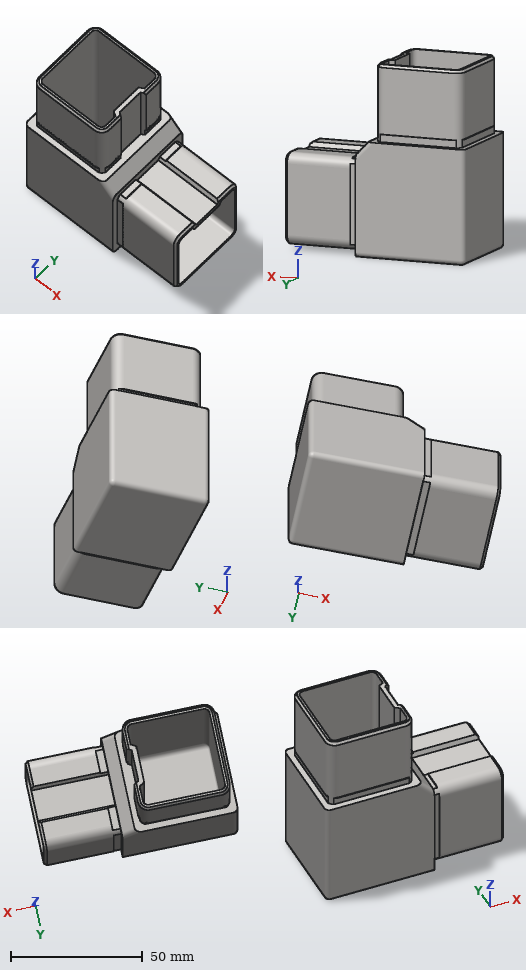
import cadquery as cq
import math


overall = 75.0
block_width = 40.0
block_length = 45.0
block_round = 2.0
block_chamfer = 4.95

spigot_width = 35.7
spigot_round = 4.0
tip_chamfer_inset = 0.9
tip_chamfer_height = 1.05
neck_width = 34.8
neck_length = 3.0

bore_width = 31.95
bore_round = 2.0
bore_corner_round = 1.0

groove_floor_half = 6.0
groove_flank = math.tan(math.radians(30))
groove_depth = (spigot_width - bore_width) / 2
groove_wall = 2.0
ridge_floor_half = 7.1

axis = block_width / 2
spigot_face = axis + spigot_width / 2
bore_face = axis + bore_width / 2
groove_floor = spigot_face - groove_depth


def rounded_bar(width, radius, bottom, top):
    """Square bar with rounded corners, standing on the vertical spigot axis."""
    return (
        cq.Workplane("XY", origin=(axis, 0, bottom))
        .rect(width, width)
        .extrude(top - bottom)
        .edges("|Z")
        .fillet(radius)
    )


def trapezoid_bar(floor_x, floor_half, mouth_x, bottom):
    """Vertical bar with a trapezoid section that widens from floor to mouth."""
    mouth_half = floor_half + (mouth_x - floor_x) * groove_flank
    outline = [
        (floor_x, -floor_half),
        (mouth_x, -mouth_half),
        (mouth_x, mouth_half),
        (floor_x, floor_half),
    ]
    return (
        cq.Workplane("XY", origin=(0, 0, bottom))
        .polyline(outline)
        .close()
        .extrude(overall - bottom)
    )


def swap_x_and_z(solid):
    """Half turn about the X = Z diagonal; turns the vertical leg into the horizontal one."""
    return solid.rotate((0, 0, 0), (1, 0, 1), 180)


def corner_block():
    """Solid block with a bevelled inner corner and rounded outer edges."""
    shoulder = block_length - block_chamfer
    outline = [
        (0, 0),
        (block_length, 0),
        (block_length, shoulder),
        (shoulder, block_length),
        (0, block_length),
    ]
    block = (
        cq.Workplane("XZ", origin=(0, axis, 0))
        .polyline(outline)
        .close()
        .extrude(block_width)
    )
    return block.edges("not(>X or >Z)").fillet(block_round)


def spigot():
    """Solid upright spigot with neck flats, tip chamfer and weld-seam groove."""
    sleeve = (
        rounded_bar(spigot_width, spigot_round, block_length, overall)
        .faces(">Z")
        .chamfer(tip_chamfer_height, tip_chamfer_inset)
    )
    neck_flats = (
        cq.Workplane("XY", origin=(axis, 0, block_length))
        .rect(block_width, block_width)
        .rect(neck_width, neck_width)
        .extrude(neck_length)
    )
    groove = trapezoid_bar(groove_floor, groove_floor_half, spigot_face, block_length)
    return sleeve.cut(neck_flats).cut(groove)


def bore():
    """L-shaped cavity: two ridged legs that meet on the X = Z mitre plane."""
    leg = rounded_bar(bore_width, bore_round, 0, overall)
    leg = leg.cut(trapezoid_bar(groove_floor - groove_wall, ridge_floor_half, bore_face, 0))
    above_mitre = (
        cq.Workplane("XZ", origin=(0, axis, 0))
        .polyline([(0, 0), (overall, overall), (0, overall)])
        .close()
        .extrude(block_width)
    )
    leg = leg.intersect(above_mitre)
    cavity = leg.union(swap_x_and_z(leg))
    return cavity.edges("|Y and <X and <Z").fillet(bore_corner_round)


upright = spigot()
result = corner_block().union(upright).union(swap_x_and_z(upright)).cut(bore())